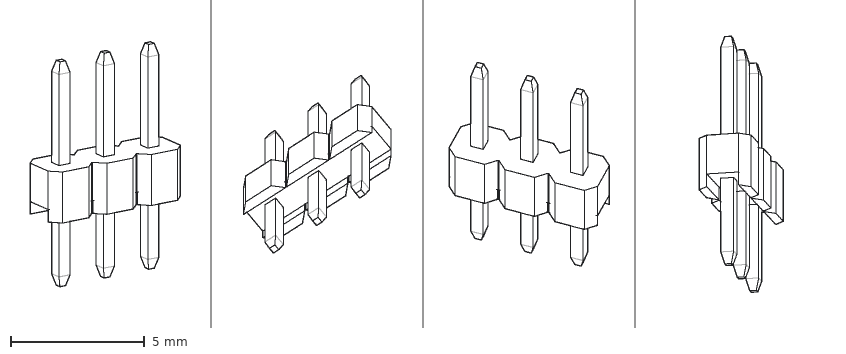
import cadquery as cq

pin_count = 3
pitch = 2.0

cell_width = 2.0
cell_length = 1.95
corner_cut = 0.39
neck_width = cell_width - 2 * corner_cut
row_length = (pin_count - 1) * pitch + cell_length
housing_height = 2.0
channel_depth = 0.49

pin_side = 0.5
tip_side = 0.255
taper_length = 0.44
pin_length = 8.8
pin_bottom = -2.8

pin_positions = [(0, (i - (pin_count - 1) / 2) * pitch) for i in range(pin_count)]


def make_housing():
    """Chamfered cells joined by a narrow spine, with a channel along the underside."""
    cells = (
        cq.Workplane("XY")
        .pushPoints(pin_positions)
        .rect(cell_width, cell_length)
        .extrude(housing_height)
        .edges("|Z")
        .chamfer(corner_cut)
    )
    align_up = (True, True, False)
    spine = cq.Workplane("XY").box(neck_width, row_length - 2 * corner_cut, housing_height, centered=align_up)
    channel = cq.Workplane("XY").box(neck_width, row_length, channel_depth, centered=align_up)
    return cells.union(spine).cut(channel)


def make_pin(position):
    """Square pin with a tapered tip at each end."""
    x, y = position
    shaft_bottom = pin_bottom + taper_length
    shaft_length = pin_length - 2 * taper_length
    shaft = cq.Workplane("XY", origin=(x, y, shaft_bottom)).rect(pin_side, pin_side).extrude(shaft_length)

    def tip(shaft_end, direction):
        return (
            cq.Workplane("XY", origin=(x, y, shaft_end))
            .rect(pin_side, pin_side)
            .workplane(offset=direction * taper_length)
            .rect(tip_side, tip_side)
            .loft(ruled=True)
        )

    return shaft.union(tip(shaft_bottom, -1)).union(tip(shaft_bottom + shaft_length, 1))


result = make_housing()
for pin_position in pin_positions:
    result = result.union(make_pin(pin_position))